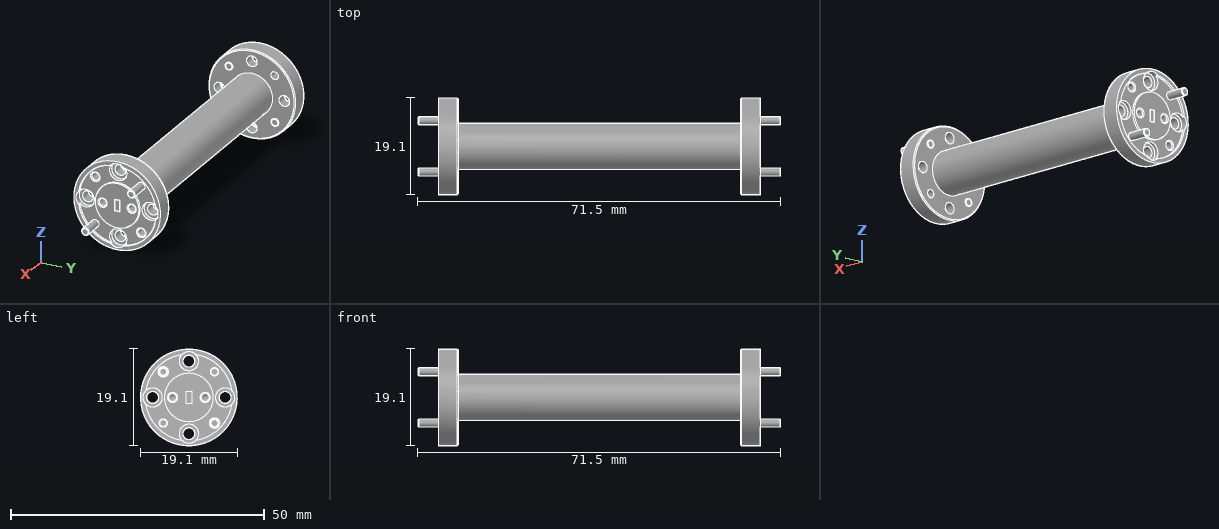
import cadquery as cq
import math

OVERALL_LENGTH = 71.45
FLANGE_THICKNESS = 3.9
PIN_PROTRUSION = 4.0
FACE_X = OVERALL_LENGTH / 2 - PIN_PROTRUSION

FLANGE_RADIUS = 19.1 / 2
FLANGE_BACK_CHAMFER = 0.2
TUBE_RADIUS = 4.6

BOSS_RADIUS = 4.8
RIM_INNER_RADIUS = 8.6
RELIEF_DEPTH = 0.5

BOLT_CIRCLE_RADIUS = 7.15
SCREW_HOLE_RADIUS = 1.15
COUNTERBORE_RADIUS = 3.8 / 2
COUNTERBORE_DEPTH = 1.4
SCREW_ANGLES = (0, 90, 180, 270)

PIN_RADIUS = 1.65 / 2
PIN_CHAMFER = 0.15
PIN_LENGTH = PIN_PROTRUSION + FLANGE_THICKNESS
COUNTERSINK_WIDTH = 0.2
PIN_ANGLES = (45, 225)
MATING_ANGLES = (135, 315)

BOSS_HOLE_OFFSET = 3.2
BOSS_HOLE_RADIUS = 0.8
BOSS_HOLE_DEPTH = 3.0
DRILL_POINT_ANGLE = 118.0

PORT_WIDTH = 1.15
PORT_HEIGHT = 2.4
PORT_DEPTH = 0.15

END_TURNS = (0, 180)


def cylinder(radius, start_x, end_x, y=0.0, z=0.0):
    """A cylinder along X between two X positions."""
    start = cq.Vector(start_x, y, z)
    return cq.Workplane(cq.Solid.makeCylinder(radius, end_x - start_x, start, cq.Vector(1, 0, 0)))


def on_bolt_circle(angle):
    """The Y and Z of a place on the bolt circle."""
    turn = math.radians(angle)
    return BOLT_CIRCLE_RADIUS * math.cos(turn), BOLT_CIRCLE_RADIUS * math.sin(turn)


def turned(shape, angle):
    return shape.rotate((0, 0, 0), (0, 0, 1), angle)


def cone(base_radius, base_x, height, y, z):
    """A cone that narrows from its base towards -X."""
    return cq.Workplane(
        cq.Solid.makeCone(base_radius, 0, height, cq.Vector(base_x, y, z), cq.Vector(-1, 0, 0))
    )


def flange_blank():
    blank = cylinder(FLANGE_RADIUS, FACE_X - FLANGE_THICKNESS, FACE_X)
    return blank.faces("<X").chamfer(FLANGE_BACK_CHAMFER)


def face_relief():
    floor_x = FACE_X - RELIEF_DEPTH
    return cylinder(RIM_INNER_RADIUS, floor_x, FACE_X).cut(cylinder(BOSS_RADIUS, floor_x, FACE_X))


def screw_hole(angle):
    y, z = on_bolt_circle(angle)
    through = cylinder(SCREW_HOLE_RADIUS, FACE_X - FLANGE_THICKNESS, FACE_X, y, z)
    return through.union(cylinder(COUNTERBORE_RADIUS, FACE_X - COUNTERBORE_DEPTH, FACE_X, y, z))


def pin_hole(angle):
    return cylinder(PIN_RADIUS, FACE_X - FLANGE_THICKNESS, FACE_X, *on_bolt_circle(angle))


def countersink(hole_radius, top_x, y, z):
    """A 90 degree countersink, as a full cone whose tip lies inside the hole."""
    rim_radius = hole_radius + COUNTERSINK_WIDTH
    return cone(rim_radius, top_x, rim_radius, y, z)


def mating_hole(angle):
    y, z = on_bolt_circle(angle)
    return pin_hole(angle).union(countersink(PIN_RADIUS, FACE_X - RELIEF_DEPTH, y, z))


def boss_hole(y):
    bottom_x = FACE_X - BOSS_HOLE_DEPTH
    point_height = BOSS_HOLE_RADIUS / math.tan(math.radians(DRILL_POINT_ANGLE / 2))
    hole = cylinder(BOSS_HOLE_RADIUS, bottom_x, FACE_X, y)
    hole = hole.union(cone(BOSS_HOLE_RADIUS, bottom_x, point_height, y, 0))
    return hole.union(countersink(BOSS_HOLE_RADIUS, FACE_X, y, 0))


def port():
    return (
        cq.Workplane("YZ", origin=(FACE_X - PORT_DEPTH, 0, 0))
        .rect(PORT_WIDTH, PORT_HEIGHT)
        .extrude(PORT_DEPTH)
    )


def make_waveguide():
    """The tube with a flange at each end."""
    cutters = [face_relief(), port()]
    cutters += [screw_hole(angle) for angle in SCREW_ANGLES]
    cutters += [pin_hole(angle) for angle in PIN_ANGLES]
    cutters += [mating_hole(angle) for angle in MATING_ANGLES]
    cutters += [boss_hole(y) for y in (-BOSS_HOLE_OFFSET, BOSS_HOLE_OFFSET)]

    inner_x = FACE_X - FLANGE_THICKNESS
    body = cylinder(TUBE_RADIUS, -inner_x, inner_x)
    for turn in END_TURNS:
        body = body.union(turned(flange_blank(), turn))
    for turn in END_TURNS:
        for cutter in cutters:
            body = body.cut(turned(cutter, turn))
    return body


def make_pin(angle):
    """A dowel pin, flush with the back of its flange and chamfered at both ends."""
    start_x = FACE_X - FLANGE_THICKNESS
    pin = cylinder(PIN_RADIUS, start_x, start_x + PIN_LENGTH, *on_bolt_circle(angle))
    return pin.faces("<X or >X").chamfer(PIN_CHAMFER)


waveguide = make_waveguide()
pins = [turned(make_pin(angle), turn) for turn in END_TURNS for angle in PIN_ANGLES]

result = cq.Compound.makeCompound([waveguide.val(), *[pin.val() for pin in pins]])